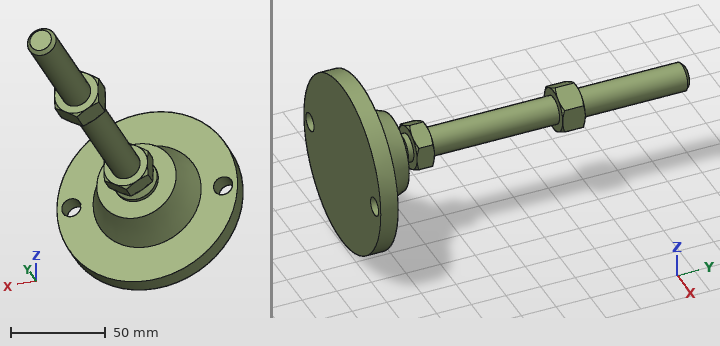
import cadquery as cq
import math

total_length = 198.0

base_diameter = 100.0
base_thickness = 10.0
hole_diameter = 10.5
hole_spacing = 84.0

hub_top = 29.0
hub_base_radius = 29.9
hub_top_radius = 22.0
hub_flank_sag = 0.4

rod_radius = 8.0
collar_radius = 12.0
collar_top = 31.0
collar_cone_top = 34.6
tip_chamfer = 2.0

nut_across_flats = 24.2
nut_chamfer_angle = 30.0
lower_nut_start = 37.8
lower_nut_height = 10.0
upper_nut_start = 122.0
upper_nut_height = 13.0


def revolve_about_y(profile):
    return profile.close().revolve(360, (0, 0, 0), (0, 1, 0))


def make_foot_and_spindle():
    """Base, hub, collar and rod as one revolved profile (radius, Y)."""
    base_radius = base_diameter / 2
    flank_mid_radius = (hub_base_radius + hub_top_radius) / 2 - hub_flank_sag
    flank_mid_y = (base_thickness + hub_top) / 2
    profile = (
        cq.Workplane("XY")
        .lineTo(base_radius, 0)
        .lineTo(base_radius, base_thickness)
        .lineTo(hub_base_radius, base_thickness)
        .threePointArc((flank_mid_radius, flank_mid_y), (hub_top_radius, hub_top))
        .lineTo(collar_radius, hub_top)
        .lineTo(collar_radius, collar_top)
        .lineTo(rod_radius, collar_cone_top)
        .lineTo(rod_radius, total_length - tip_chamfer)
        .lineTo(rod_radius - tip_chamfer, total_length)
        .lineTo(0, total_length)
    )
    return revolve_about_y(profile)


def make_nut(start, height):
    """Hexagon nut, flats facing +X and -X, with conically chamfered corners."""
    end = start + height
    flat_radius = nut_across_flats / 2
    corner_radius = flat_radius / math.cos(math.pi / 6)
    chamfer_height = (corner_radius - flat_radius) * math.tan(math.radians(nut_chamfer_angle))
    hexagon = (
        cq.Workplane("XZ", origin=(0, start, 0))
        .transformed(rotate=(0, 0, 90))
        .polygon(6, 2 * corner_radius)
        .extrude(-height)
    )
    envelope = revolve_about_y(
        cq.Workplane("XY")
        .moveTo(0, start)
        .lineTo(flat_radius, start)
        .lineTo(corner_radius, start + chamfer_height)
        .lineTo(corner_radius, end - chamfer_height)
        .lineTo(flat_radius, end)
        .lineTo(0, end)
    )
    return hexagon.intersect(envelope)


def make_mounting_holes():
    """Two through holes on the X axis of the base."""
    return (
        cq.Workplane("XZ")
        .pushPoints([(-hole_spacing / 2, 0), (hole_spacing / 2, 0)])
        .circle(hole_diameter / 2)
        .extrude(-base_thickness)
    )


result = make_foot_and_spindle()
result = result.union(make_nut(lower_nut_start, lower_nut_height))
result = result.union(make_nut(upper_nut_start, upper_nut_height))
result = result.cut(make_mounting_holes())